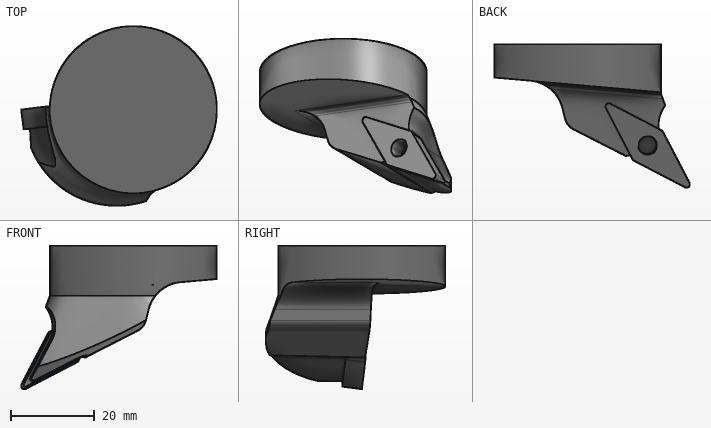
import cadquery as cq
import math


shank_radius = 20
shank_height = 12

flare_angle = 19.5
neck_depth = 24
trim_x = -4
trim_y = -1
trim_radius = 22

floor_angle = 5
floor_rim_depth = 8
hollow_radius = 8.5
hollow_start_x = 11.2
wall_angle = 14
underside_angle = 27
underside_x = 0.55
underside_z = -20.6
heel_radius = 4

chip_face_angle = 4.05
chip_face_lean = 1.4
chip_face_y = 0.69
chip_face_x = -20.3
chip_corner_radius = 1.5

inscribed_diameter = 9.525
point_angle = 35
insert_thickness = 4.76
insert_clearance = 5
nose_radius = 0.8
screw_hole_diameter = 4.4
nose_min_x = -26.85
nose_min_z = -34.33
nose_y = 0.08
insert_tilt = 3.4
diagonal_heading = 45

relief_lean = 3.5
relief_heading = 20
side_relief_inset = 1.0
side_relief_length = 12.2
side_relief_radius = 7.6
under_relief_inset = 0.88
under_relief_length = 14.0
under_relief_radius = 3
tip_bevel_distance = 1.85

clear = 60


def direction(angle):
    return cq.Vector(math.cos(math.radians(angle)), math.sin(math.radians(angle)))


def leaning_frame(lean, heading):
    """Frame at the insert's nose centre, with x along the rhombus's long diagonal.

    Its normal points into the neck (-Y), leaning by `lean` toward `heading` in the XZ plane.
    Its y axis points to the outer side of the insert.
    """
    sideways = direction(heading) * math.tan(math.radians(lean))
    diagonal = direction(diagonal_heading)
    return cq.Plane(
        origin=(nose_min_x + nose_radius, nose_y, nose_min_z + nose_radius),
        xDir=(diagonal.x, diagonal.dot(sideways), diagonal.y),
        normal=(sideways.x, -1, sideways.y),
    )


rake_frame = leaning_frame(insert_tilt, diagonal_heading)
relief_frame = leaning_frame(relief_lean, relief_heading)

half_point = point_angle / 2
insert_side = inscribed_diameter / math.sin(math.radians(point_angle))
half_length = insert_side * math.cos(math.radians(half_point))
half_width = insert_side * math.sin(math.radians(half_point))
nose_setback = nose_radius / math.sin(math.radians(half_point))
insert_centre_x = half_length - nose_setback


def insert_outline():
    rhombus = (
        cq.Sketch()
        .polygon([
            (-half_length, 0),
            (0, -half_width),
            (half_length, 0),
            (0, half_width),
            (-half_length, 0),
        ])
        .vertices()
        .fillet(nose_radius)
    )
    return cq.Workplane(rake_frame).center(insert_centre_x, 0).placeSketch(rhombus)


def insert_blank():
    return insert_outline().extrude(insert_thickness, taper=insert_clearance)


def build_insert():
    screw_hole = (
        cq.Workplane(rake_frame)
        .center(insert_centre_x, 0)
        .circle(screw_hole_diameter / 2)
        .extrude(insert_thickness)
    )
    return insert_blank().cut(screw_hole)


def neck():
    flare = neck_depth * math.tan(math.radians(flare_angle))
    cone = (
        cq.Workplane("XZ")
        .polyline([
            (0, -shank_height),
            (shank_radius, -shank_height),
            (shank_radius + flare, -shank_height - neck_depth),
            (0, -shank_height - neck_depth),
        ])
        .close()
        .revolve(360, (0, 0, 0), (0, 1, 0))
    )
    trim = (
        cq.Workplane("XY")
        .workplane(offset=-shank_height)
        .center(trim_x, trim_y)
        .circle(trim_radius)
        .extrude(-neck_depth)
    )
    return cone.intersect(trim)


def floor_z(x):
    return -floor_rim_depth + (x - shank_radius) * math.tan(math.radians(floor_angle))


def underside_height(x):
    return underside_z + (x - underside_x) * math.tan(math.radians(underside_angle))


def end_clearance_cut():
    """Space under the sloped floor, past the neck's end wall and below its underside."""
    hollow_start = cq.Vector(hollow_start_x, floor_z(hollow_start_x))
    hollow_centre = hollow_start + direction(floor_angle - 90) * hollow_radius
    hollow_middle = hollow_centre + direction(135 + (floor_angle - wall_angle) / 2) * hollow_radius
    hollow_end = hollow_centre + direction(180 - wall_angle) * hollow_radius
    wall_run = math.tan(math.radians(wall_angle))
    underside_slope = math.tan(math.radians(underside_angle))
    wall_drop = (hollow_end.y - underside_height(hollow_end.x)) / (1 - underside_slope * wall_run)
    heel_x = hollow_end.x - wall_run * wall_drop
    profile = (
        cq.Workplane("XZ")
        .moveTo(clear, floor_z(clear))
        .lineTo(hollow_start.x, hollow_start.y)
        .threePointArc(hollow_middle.toTuple()[:2], hollow_end.toTuple()[:2])
        .lineTo(heel_x, underside_height(heel_x))
        .lineTo(-clear, underside_height(-clear))
        .lineTo(clear, underside_height(-clear))
        .close()
    )
    heel_edge = cq.selectors.NearestToPointSelector((heel_x, 0, underside_height(heel_x)))
    return profile.extrude(clear, both=True).edges(heel_edge).fillet(heel_radius)


def chip_face_cut():
    """Space in front of the chip face, below the sloped floor, with a rounded corner."""
    turn = math.radians(chip_face_angle)
    along = direction(floor_angle)
    frame = cq.Plane(
        origin=(chip_face_x, chip_face_y, floor_z(chip_face_x)),
        xDir=(-math.sin(turn) * along.x, math.cos(turn), -math.sin(turn) * along.y),
        normal=(math.cos(turn) * along.x, math.sin(turn), math.cos(turn) * along.y),
    )
    foot_x = -clear * math.tan(math.radians(chip_face_lean))
    corner_edge = cq.selectors.NearestToPointSelector(frame.origin.toTuple())
    return (
        cq.Workplane(frame)
        .polyline([(0, 0), (clear, 0), (clear, -clear), (foot_x, -clear)])
        .close()
        .extrude(clear, both=True)
        .edges(corner_edge)
        .fillet(chip_corner_radius)
    )


def relief_cut(side, inset, flat_length, end_radius):
    """Flat along one edge of the insert that runs out through a hollow.

    `side` is 1 for the insert's outer edge and -1 for its lower edge.
    """
    along = direction(side * half_point)
    outward = direction(side * (half_point + 90))
    flat_start = outward * (nose_radius - inset) - along * clear
    flat_end = outward * (nose_radius - inset) + along * flat_length
    hollow_centre = flat_end + outward * end_radius
    hollow_middle = hollow_centre + direction(side * (half_point - 45)) * end_radius
    hollow_end = hollow_centre + along * end_radius
    return (
        cq.Workplane(relief_frame)
        .moveTo(flat_start.x, flat_start.y)
        .lineTo(flat_end.x, flat_end.y)
        .threePointArc(hollow_middle.toTuple()[:2], hollow_end.toTuple()[:2])
        .lineTo(hollow_end.x, side * clear)
        .lineTo(flat_start.x, side * clear)
        .close()
        .extrude(clear, both=True)
    )


def tip_bevel_cut():
    return (
        cq.Workplane(relief_frame)
        .center(tip_bevel_distance - clear / 2, 0)
        .rect(clear, clear)
        .extrude(clear, both=True)
    )


def build_body():
    shank = cq.Workplane("XY").circle(shank_radius).extrude(-shank_height)
    insert_opening = insert_outline().extrude(-insert_thickness)
    return (
        shank.union(neck())
        .cut(end_clearance_cut())
        .cut(chip_face_cut())
        .cut(relief_cut(1, side_relief_inset, side_relief_length, side_relief_radius))
        .cut(relief_cut(-1, under_relief_inset, under_relief_length, under_relief_radius))
        .cut(tip_bevel_cut())
        .cut(insert_blank())
        .cut(insert_opening)
    )


body = build_body()
insert = build_insert()
result = cq.Compound.makeCompound([*body.vals(), *insert.vals()])